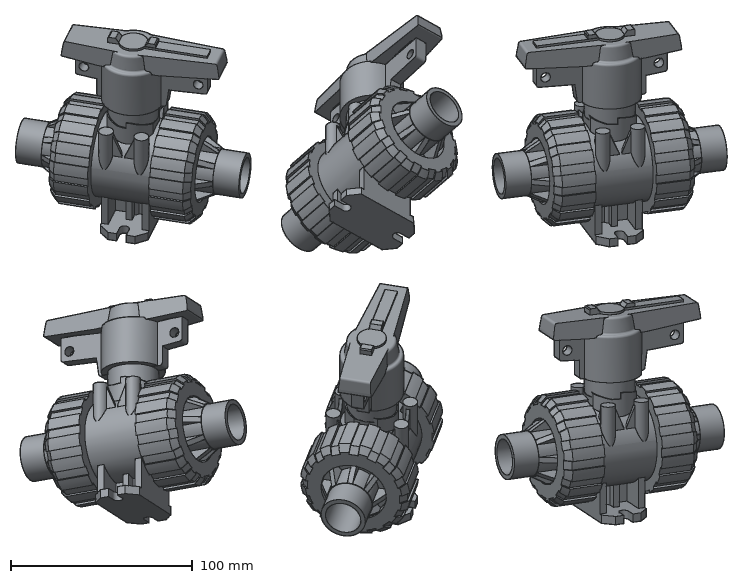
import cadquery as cq
import math


pipe_length = 127.5
overall_height = 119.5
pipe_end_x = pipe_length / 2
bore_diameter = 20.0
pipe_diameter = 25.1
collar_radius = 12.9
collar_end_x = 49.0

body_diameter = 48.0
body_radius = body_diameter / 2
body_end_x = 30.6
flange_face_x = 35.3

nut_inner_x = 17.5
nut_outer_x = 40.4
nut_opening_diameter = 37.0
nut_chamfer = 3.6
tooth_radius = 31.0
tooth_root_radius = 29.7
tooth_count = 16
tooth_gap_width = 5.2

rib_count = 8
rib_width = 3.0
rib_radius_at_nut_face = 17.7

pillar_diameter = 8.2
pillar_x = 10.1
pillar_y = 19.3
pillar_top_z = 28.3
fin_thickness = 2.0
fin_top_z = 26.0
fin_slope = 2.3
cross_fin_y = 19.0
side_fin_x = 12.0
side_fin_start_y = 16.0

neck_diameter = 28.0
neck_top_z = 50.9
sleeve_radius = 14.8
sleeve_half_length_x = 13.3
ramp_count = 4
ramp_high_angle = 10.0
ramp_angle = 60.0
ramp_low_z = 29.1
ramp_high_z = 32.5

foot_bottom_z = -39.9
foot_thickness = 4.8
foot_length_x = 27.3
foot_width_y = body_diameter
foot_chamfer_x = 6.0
foot_chamfer_y = 5.6
foot_slot_diameter = 5.5
foot_slot_end_y = 18.1
stand_width_y = 32.6
stand_wall = 4.0
stand_web = 3.5
stand_rib_reach_y = 8.8
stand_boss_diameter = 8.2

drum_radius = 17.6
drum_bottom_z = 39.8
drum_top_z = 65.0
shoulder_radius = 16.1
shoulder_z = 66.5
cap_foot_radius = 14.9
cap_foot_z = 67.8
cap_top_radius = 13.6
cap_edge_radius = 1.5
grip_top_z = 76.0

drum_slot_width = 8.2
drum_slot_top_z = 65.9
web_thickness = 6.8
web_left_x = -32.1
strip_end_x = 43.2
web_corner_z = 52.0
web_root_z = 67.2
web_step_left_x = -19.9
web_foot_right_x = 19.6
web_step_right_x = 21.2
web_corner_radius = 1.5
web_hole_diameter = 5.5
web_hole_z = 57.5
web_hole_left_x = -27.3
web_hole_right_x = 38.0

grip_left_x = -38.8
grip_right_x = 51.5
grip_left_half_width = 9.5
grip_mid_half_width = 12.2
grip_right_half_width = 8.7
grip_end_z = 66.5
grip_low_z = 64.6
grip_low_left_z = 65.2
grip_draft = 5.0
grip_end_lean = 1.5
grip_edge_radius = 1.5
grip_tip_radius = 0.9

button_diameter = 16.1
button_top_z = 77.3
tab_inner_x = 7.4
tab_slope = 1.8
tab_outer_x = 13.6
tab_width = 6.6
tab_chamfer = 0.6
tab_top_z = foot_bottom_z + overall_height
strip_width = 7.1
mark_root_z = 74.8


def cylinder_x(radius, start_x, end_x):
    """Cylinder on the flow axis between two X positions."""
    return cq.Workplane("YZ").workplane(offset=start_x).circle(radius).extrude(end_x - start_x)


def cylinder_z(diameter, bottom_z, top_z, x=0.0, y=0.0):
    """Upright cylinder between two heights."""
    base = cq.Workplane("XY").workplane(offset=bottom_z).center(x, y)
    return base.circle(diameter / 2).extrude(top_z - bottom_z)


def block(length_x, width_y, bottom_z, top_z, x=0.0, y=0.0):
    """Upright block centred on (x, y) between two heights."""
    base = cq.Workplane("XY").workplane(offset=bottom_z).center(x, y)
    return base.rect(length_x, width_y).extrude(top_z - bottom_z)


def plate_xz(points, thickness, y=0.0):
    """Plate with an XZ outline, centred on the given Y."""
    outline = cq.Workplane("XZ", origin=(0, y, 0)).polyline(points).close()
    return outline.extrude(thickness / 2, both=True)


def make_sleeve():
    """Flat-sided sleeve whose top has four high rests, each with a ramp down to the next step."""
    top_clearance = 1.3
    cutter_height = ramp_high_z - ramp_low_z + top_clearance
    cutter_width = 5.1
    ramp_rise = ramp_high_z - ramp_low_z
    ramp_pitch = ramp_rise * 360 / ramp_angle
    step_angle = 360 / ramp_count
    low_angle = step_angle - ramp_high_angle - ramp_angle

    section_centre_z = ramp_low_z + cutter_height / 2
    helix = cq.Wire.makeHelix(
        ramp_pitch, ramp_rise, sleeve_radius, center=cq.Vector(0, 0, section_centre_z), lefthand=True
    )
    section = cq.Workplane("XZ").center(sleeve_radius, section_centre_z).rect(cutter_width, cutter_height)
    ramp_cutter = section.sweep(cq.Workplane(helix), isFrenet=True)
    low_section = cq.Workplane("XZ").center(sleeve_radius, section_centre_z)
    low_cutter = low_section.rect(cutter_width, cutter_height).revolve(
        low_angle, (-sleeve_radius, 0), (-sleeve_radius, 1)
    )

    sleeve = cylinder_z(2 * sleeve_radius, 0, ramp_high_z)
    for step in range(ramp_count):
        angle = step * step_angle + ramp_high_angle + ramp_angle
        for cutter in (ramp_cutter, low_cutter):
            sleeve = sleeve.cut(cutter.rotate((0, 0, 0), (0, 0, 1), angle))
    return sleeve.intersect(block(2 * sleeve_half_length_x, 2 * sleeve_radius, 0, ramp_high_z))


def make_pillars():
    """Four pillars, each with one fin along X and one fin towards the stem."""
    cross_fin_run = pillar_x - pillar_diameter / 2
    cross_fin_tip_x = 0.8
    cross_fin_drop = (cross_fin_run - cross_fin_tip_x) * fin_slope
    cross_fin = plate_xz(
        [
            (pillar_x, 0),
            (pillar_x, fin_top_z),
            (cross_fin_run, fin_top_z),
            (cross_fin_tip_x, fin_top_z - cross_fin_drop),
            (cross_fin_tip_x, 0),
        ],
        fin_thickness,
        cross_fin_y,
    )
    side_fin_end_y = neck_diameter / 2 - fin_thickness
    side_fin_drop = (side_fin_start_y - side_fin_end_y) * fin_slope
    side_fin = (
        cq.Workplane("YZ", origin=(side_fin_x, 0, 0))
        .polyline([
            (pillar_y, 0),
            (pillar_y, fin_top_z),
            (side_fin_start_y, fin_top_z),
            (side_fin_end_y, fin_top_z - side_fin_drop),
            (side_fin_end_y, 0),
        ])
        .close()
        .extrude(fin_thickness / 2, both=True)
    )
    pillar = cylinder_z(pillar_diameter, 0, pillar_top_z, pillar_x, pillar_y)
    corner = pillar.union(cross_fin).union(side_fin)
    pair = corner.union(corner.mirror("YZ"))
    return pair.union(pair.mirror("XZ"))


def make_foot():
    """Slotted base plate carried by two side walls, a web, a rib and a boss."""
    plate_top_z = foot_bottom_z + foot_thickness
    half_x = foot_length_x / 2
    half_y = foot_width_y / 2
    corner_x = half_x - foot_chamfer_x
    corner_y = half_y - foot_chamfer_y
    outline = [
        (half_x, corner_y), (corner_x, half_y), (-corner_x, half_y), (-half_x, corner_y),
        (-half_x, -corner_y), (-corner_x, -half_y), (corner_x, -half_y), (half_x, -corner_y),
    ]
    foot = cq.Workplane("XY").workplane(offset=foot_bottom_z).polyline(outline).close().extrude(foot_thickness)

    slot_length = half_y - foot_slot_end_y
    for side in (-1, 1):
        slot_y = side * (foot_slot_end_y + slot_length / 2)
        foot = foot.cut(block(foot_slot_diameter, slot_length, foot_bottom_z, plate_top_z, 0, slot_y))
        foot = foot.cut(
            cylinder_z(foot_slot_diameter, foot_bottom_z, plate_top_z, 0, side * foot_slot_end_y)
        )

    wall_x = half_x - stand_wall / 2
    stand_top_z = -body_radius / 2
    foot = foot.union(block(foot_length_x, stand_web, plate_top_z, stand_top_z))
    foot = foot.union(block(stand_web, 2 * stand_rib_reach_y, plate_top_z, stand_top_z))
    foot = foot.union(cylinder_z(stand_boss_diameter, plate_top_z, stand_top_z))
    for side in (-1, 1):
        foot = foot.union(block(stand_wall, stand_width_y, plate_top_z, stand_top_z, side * wall_x))
    return foot


def make_body():
    body = cylinder_x(body_radius, -body_end_x, body_end_x)
    body = body.union(make_sleeve())
    body = body.union(cylinder_z(neck_diameter, ramp_low_z, neck_top_z))
    body = body.union(make_pillars())
    body = body.union(make_foot())
    return body.cut(cylinder_x(bore_diameter / 2, -body_end_x, body_end_x))


def nut_blank(radius):
    """Solid nut of the given radius with its outer end chamfered."""
    blank = cylinder_x(radius, nut_inner_x, nut_outer_x)
    return blank.faces(">X").chamfer(nut_chamfer)


def make_nut():
    """Union nut on the +X side, toothed outside and recessed over the body and flange."""
    teeth = nut_blank(tooth_radius)
    gap_length = nut_outer_x - nut_inner_x
    gap_centre_x = (nut_inner_x + nut_outer_x) / 2
    gap_clearance = 1.3
    gap = block(gap_length, tooth_gap_width, body_radius, tooth_radius + gap_clearance, gap_centre_x)
    for index in range(tooth_count):
        teeth = teeth.cut(gap.rotate((0, 0, 0), (1, 0, 0), index * 360 / tooth_count))
    nut = nut_blank(tooth_root_radius).union(teeth)
    nut = nut.cut(cylinder_x(body_radius, nut_inner_x, flange_face_x))
    return nut.cut(cylinder_x(nut_opening_diameter / 2, flange_face_x, nut_outer_x))


def make_pipe_end():
    """Pipe end on the +X side: flange, collar, spigot and tapered ribs."""
    pipe_end = cylinder_x(body_radius, body_end_x, flange_face_x)
    pipe_end = pipe_end.union(cylinder_x(collar_radius, flange_face_x, collar_end_x))
    pipe_end = pipe_end.union(cylinder_x(pipe_diameter / 2, collar_end_x, pipe_end_x))

    rib_slope = (rib_radius_at_nut_face - collar_radius) / (collar_end_x - nut_outer_x)
    rib_radius_at_flange = collar_radius + rib_slope * (collar_end_x - flange_face_x)
    rib = plate_xz(
        [
            (flange_face_x, bore_diameter / 2),
            (flange_face_x, rib_radius_at_flange),
            (collar_end_x, collar_radius),
            (collar_end_x, bore_diameter / 2),
        ],
        rib_width,
    )
    rib = rib.intersect(cylinder_x(nut_opening_diameter / 2, flange_face_x, collar_end_x))
    for index in range(rib_count):
        pipe_end = pipe_end.union(rib.rotate((0, 0, 0), (1, 0, 0), index * 360 / rib_count))
    return pipe_end.cut(cylinder_x(bore_diameter / 2, body_end_x, pipe_end_x))


def make_drum():
    """Drum with a rounded shoulder and a conical cap above it."""
    arc_middle = 1 - math.sqrt(0.5)
    shoulder_drop = (drum_radius - shoulder_radius) * arc_middle
    foot_drop = (shoulder_radius - cap_foot_radius) * arc_middle
    profile = (
        cq.Workplane("XZ")
        .moveTo(0, drum_bottom_z)
        .lineTo(drum_radius, drum_bottom_z)
        .lineTo(drum_radius, drum_top_z)
        .threePointArc((drum_radius - shoulder_drop, shoulder_z - shoulder_drop), (shoulder_radius, shoulder_z))
        .threePointArc((cap_foot_radius + foot_drop, shoulder_z + foot_drop), (cap_foot_radius, cap_foot_z))
        .lineTo(cap_top_radius, grip_top_z)
        .lineTo(0, grip_top_z)
        .close()
    )
    return profile.revolve(360, (0, 0), (0, 1)).edges(">Z").fillet(cap_edge_radius)


def make_grip():
    """Long grip with drafted sides, leaning ends and a widened middle."""
    plan = [
        (grip_left_x, grip_left_half_width),
        (0, grip_mid_half_width),
        (grip_right_x, grip_right_half_width),
        (grip_right_x, -grip_right_half_width),
        (0, -grip_mid_half_width),
        (grip_left_x, -grip_left_half_width),
    ]
    height = grip_top_z - grip_low_z
    prism = cq.Workplane("XY").workplane(offset=grip_low_z).polyline(plan).close()
    prism = prism.extrude(height, taper=grip_draft)
    side = plate_xz(
        [
            (grip_left_x, grip_end_z),
            (grip_left_x + grip_end_lean, grip_top_z),
            (grip_right_x - grip_end_lean, grip_top_z),
            (grip_right_x, grip_end_z),
            (drum_radius, grip_low_z),
            (-drum_radius, grip_low_left_z),
        ],
        4 * grip_mid_half_width,
    )
    side = side.faces(">Z").edges("|Y").fillet(grip_edge_radius)
    side = side.edges("<X").fillet(grip_tip_radius)
    side = side.edges(">X").fillet(grip_tip_radius)
    return prism.intersect(side)


def make_web():
    """Locking web under the grip, shaped around the stem neck, with two padlock holes."""
    outline = [
        (web_left_x, web_root_z),
        (web_left_x, web_corner_z),
        (web_step_left_x, neck_top_z),
        (web_step_left_x, drum_bottom_z),
        (web_foot_right_x, drum_bottom_z),
        (web_step_right_x, neck_top_z),
        (strip_end_x, web_corner_z),
        (strip_end_x, web_root_z),
    ]
    web = plate_xz(outline, web_thickness)
    for outer_corner in ("<X", ">X", "<Z"):
        web = web.faces(outer_corner).edges("|Y").edges("<Z").fillet(web_corner_radius)
    for hole_x in (web_hole_left_x, web_hole_right_x):
        hole = cq.Workplane("XZ").center(hole_x, web_hole_z).circle(web_hole_diameter / 2)
        web = web.cut(hole.extrude(web_thickness, both=True))
    return web


def make_top_marks():
    """Round button, pointer strip and two sloped tabs on top of the grip."""
    marks = cylinder_z(button_diameter, mark_root_z, button_top_z)
    strip_centre_x = strip_end_x / 2
    marks = marks.union(block(strip_end_x, strip_width, mark_root_z, button_top_z, strip_centre_x))
    tab = plate_xz(
        [
            (tab_inner_x, mark_root_z),
            (tab_inner_x, button_top_z),
            (tab_inner_x + tab_slope, tab_top_z),
            (tab_outer_x - tab_chamfer, tab_top_z),
            (tab_outer_x, tab_top_z - tab_chamfer),
            (tab_outer_x, mark_root_z),
        ],
        tab_width,
    )
    return marks.union(tab).union(tab.mirror("YZ"))


def make_handle():
    handle = make_drum().union(make_grip())
    slot_length = 2 * (grip_right_x - grip_left_x)
    handle = handle.cut(block(slot_length, drum_slot_width, drum_bottom_z, drum_slot_top_z))
    handle = handle.union(make_web())
    handle = handle.cut(cylinder_z(neck_diameter, drum_bottom_z, neck_top_z))
    return handle.union(make_top_marks())


body = make_body()
handle = make_handle()
nut = make_nut()
pipe_end = make_pipe_end()

end_pieces = []
for turn in (0, 180):
    for piece in (nut, pipe_end):
        end_pieces.append(piece.rotate((0, 0, 0), (0, 0, 1), turn).val())

result = cq.Compound.makeCompound([body.val(), handle.val(), *end_pieces])